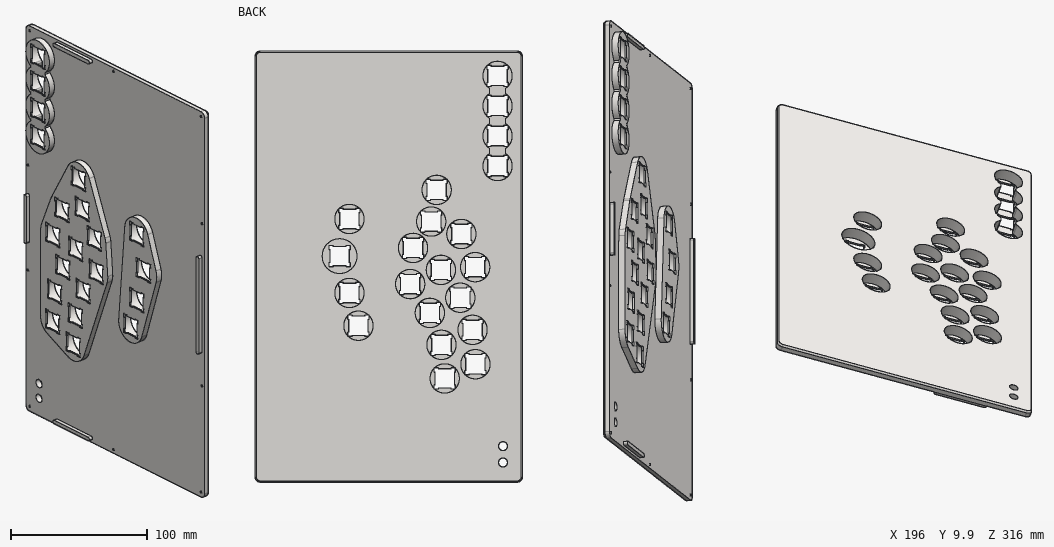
import cadquery as cq
import math

width = 196.0
height = 316.0
plate_thickness = 5.0
corner_radius = 4.0
back_chamfer_inset = 1.0
back_chamfer_depth = 1.5
depth = 9.9

boss_height = depth - plate_thickness
back_y = depth / 2
front_y = back_y - plate_thickness
boss_y = -depth / 2

boss_diameter = 26.0
pocket_diameter = 21.5
wall_thickness = (boss_diameter - pocket_diameter) / 2
web_thickness = 1.3
opening_side = 14.0
notch_side = 3.0
notch_overhang = 0.7

column_x = -79.7
column_top_z = 139.7
column_pitch = 22.0
column_count = 4
bar_width = 16.0
channel_width = bar_width - 2 * wall_thickness
channel_fillet = 2.0

finger_outer_keys = [
    (-35.1, 56.2),
    (-17.8, 13.7),
    (-15.7, -12.8),
    (-41.0, -81.9),
    (-63.5, -71.5),
    (-63.3, -0.4),
    (-53.2, 23.9),
]
finger_inner_keys = [
    (-31.1, 33.0),
    (-38.2, -2.4),
    (-52.4, -22.8),
    (-30.1, -33.9),
    (-61.4, -46.3),
    (-38.6, -57.3),
]

thumb_top_key = (28.8, 34.9)
thumb_side_key = (36.0, 7.7)
thumb_low_key = (28.8, -19.3)
thumb_bottom_key = (22.2, -43.3)
side_boss_diameter = 30.0
side_pocket_diameter = side_boss_diameter - 2 * wall_thickness

rib_width = 3.0
rib_height = 3.0
short_rib_length = 40.0
long_rib_length = 80.0
left_rib_x = -95.5
right_rib_x = 93.5
end_rib_x = -45.0
end_rib_z = 154.5

screw_diameter = 1.57
screw_depth = 3.0
corner_screw_inset = 4.0
end_screw_x = -2.0
end_screw_z = 155.0
left_screw_x = -96.0
left_screw_z = 43.0
right_screw_x = 95.0
right_screw_z = 66.5

jack_diameter = 6.4
jack_x = -83.7
jack_zs = (-131.5, -143.5)


def plane_at(y):
    """Sketch plane facing the front, with X to the right and Z up."""
    return cq.Workplane(cq.Plane(origin=(0, y, 0), xDir=(1, 0, 0), normal=(0, -1, 0)))


def make_plate():
    blank = plane_at(back_y).rect(width, height).extrude(plate_thickness)
    blank = blank.edges("|Y").fillet(corner_radius)
    return blank.faces(">Y").chamfer(back_chamfer_depth, back_chamfer_inset)


def point_on_circle(circle, angle):
    x, z, radius = circle
    return (x + radius * math.cos(angle), z + radius * math.sin(angle))


def tangent_angle(first, second):
    """Direction from both centres to the line touching the left of two successive circles."""
    dx = second[0] - first[0]
    dz = second[1] - first[1]
    return math.atan2(dz, dx) + math.acos((first[2] - second[2]) / math.hypot(dx, dz))


def cluster_boss(circles):
    """Boss with a taut outline around circles (x, z, radius) listed clockwise."""
    count = len(circles)
    angles = [tangent_angle(circles[i], circles[(i + 1) % count]) for i in range(count)]
    outline = plane_at(front_y).moveTo(*point_on_circle(circles[0], angles[-1]))
    for i, circle in enumerate(circles):
        turn = (angles[i - 1] - angles[i]) % (2 * math.pi)
        arc_middle = point_on_circle(circle, angles[i] + turn / 2)
        outline = outline.threePointArc(arc_middle, point_on_circle(circle, angles[i]))
        outline = outline.lineTo(*point_on_circle(circles[(i + 1) % count], angles[i]))
    return outline.close().extrude(boss_height)


def column_bar(bar_side, start_y, bar_depth):
    length = column_pitch * (column_count - 1)
    middle_z = column_top_z - length / 2
    return plane_at(start_y).center(column_x, middle_z).rect(bar_side, length).extrude(bar_depth)


def column_boss(keys):
    discs = plane_at(front_y).pushPoints(keys).circle(boss_diameter / 2).extrude(boss_height)
    return discs.union(column_bar(bar_width, front_y, boss_height))


def key_pockets(centers, diameter):
    """Round pockets from the back, stopping at the web."""
    return plane_at(back_y).pushPoints(centers).circle(diameter / 2).extrude(depth - web_thickness)


def column_pockets(keys):
    """Pockets of the key column, joined by a channel with rounded inside corners."""
    pockets = key_pockets(keys, pocket_diameter)
    pockets = pockets.union(column_bar(channel_width, back_y, depth - web_thickness))
    half_chord = math.sqrt(pocket_diameter**2 - channel_width**2) / 2
    for upper, lower in zip(keys, keys[1:]):
        for z in (upper[1] - half_chord, lower[1] + half_chord):
            for side in (-1, 1):
                corner = (column_x + side * channel_width / 2, 0, z)
                pockets = pockets.edges(cq.selectors.NearestToPointSelector(corner)).fillet(channel_fillet)
    return pockets


def key_openings(keys):
    """Square openings with notched corners, through the web only."""
    web = plane_at(boss_y + web_thickness)
    openings = web.pushPoints(keys).rect(opening_side, opening_side).extrude(web_thickness)
    notch_offset = opening_side / 2 + notch_overhang - notch_side / 2
    corners = [
        (x + side_x * notch_offset, z + side_z * notch_offset)
        for x, z in keys
        for side_x in (-1, 1)
        for side_z in (-1, 1)
    ]
    notches = web.pushPoints(corners).rect(notch_side, notch_side).extrude(web_thickness)
    return openings.union(notches)


def rib(x, z, length, angle):
    return plane_at(front_y).center(x, z).slot2D(length, rib_width, angle).extrude(rib_height)


def screw_holes():
    corner_x = width / 2 - corner_screw_inset
    corner_z = height / 2 - corner_screw_inset
    points = []
    for side in (-1, 1):
        points += [
            (-corner_x, side * corner_z),
            (corner_x, side * corner_z),
            (end_screw_x, side * end_screw_z),
            (left_screw_x, side * left_screw_z),
            (right_screw_x, side * right_screw_z),
        ]
    return plane_at(front_y).pushPoints(points).circle(screw_diameter / 2).extrude(-screw_depth)


def jack_holes():
    points = [(jack_x, z) for z in jack_zs]
    return plane_at(back_y).pushPoints(points).circle(jack_diameter / 2).extrude(depth)


column_keys = [(column_x, column_top_z - i * column_pitch) for i in range(column_count)]
finger_keys = finger_outer_keys + finger_inner_keys
plain_thumb_keys = [thumb_top_key, thumb_low_key, thumb_bottom_key]
all_keys = column_keys + finger_keys + plain_thumb_keys + [thumb_side_key]

finger_circles = [(x, z, boss_diameter / 2) for x, z in finger_outer_keys]
thumb_circles = [
    (*thumb_top_key, boss_diameter / 2),
    (*thumb_side_key, side_boss_diameter / 2),
    (*thumb_bottom_key, boss_diameter / 2),
]

body = make_plate()
body = body.union(column_boss(column_keys))
body = body.union(cluster_boss(finger_circles))
body = body.union(cluster_boss(thumb_circles))
body = body.union(rib(left_rib_x, 0, short_rib_length, 90))
body = body.union(rib(right_rib_x, 0, long_rib_length, 90))
for end in (-1, 1):
    body = body.union(rib(end_rib_x, end * end_rib_z, short_rib_length, 0))

body = body.cut(column_pockets(column_keys))
body = body.cut(key_pockets(finger_keys + plain_thumb_keys, pocket_diameter))
body = body.cut(key_pockets([thumb_side_key], side_pocket_diameter))
body = body.cut(key_openings(all_keys))
body = body.cut(screw_holes())
body = body.cut(jack_holes())

result = body